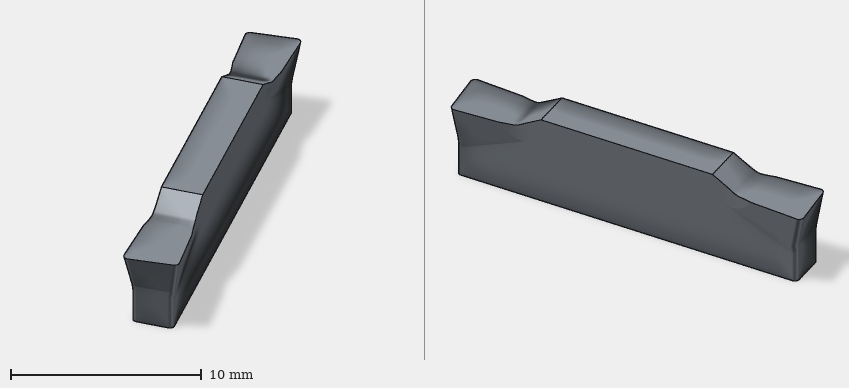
import cadquery as cq
import math

LENGTH = 21.3
HEIGHT = 5.2
CORE_WIDTH = 2.28
CORE_LENGTH = 20.36
CORE_CORNER_RADIUS = 0.25

HEAD_WIDTH = 3.0
RAKE_HEIGHT = 4.35
RELIEF_BOTTOM = 2.3
HEAD_BOTTOM = 1.58
EDGE_LEAD_ANGLE = 5.0
PLAN_TAPER_ANGLE = 3.3
FLANK_ANGLE = 7.5
HEAD_CORNER_RADIUS = 0.28

LAND_LENGTH = 10.27
RAMP_ANGLE = 30.0
RAMP_FILLET = 0.83

BLEND_RADIUS = 7.25
BLEND_END_Y = 5.88
BLEND_REACH = 1.92

CORE_HALF_WIDTH = CORE_WIDTH / 2
CORE_END_Y = CORE_LENGTH / 2
RAMP_FOOT_Y = LAND_LENGTH / 2 + (HEIGHT - RAKE_HEIGHT) / math.tan(math.radians(RAMP_ANGLE))
RAMP_START_Y = RAMP_FOOT_Y + RAMP_FILLET * math.tan(math.radians(RAMP_ANGLE / 2))

LEAD = math.radians(EDGE_LEAD_ANGLE)
TAPER = math.radians(PLAN_TAPER_ANGLE)
TIP_HALF_ANGLE = (math.pi / 2 - LEAD - TAPER) / 2
TIP_TANGENT = HEAD_CORNER_RADIUS / math.tan(TIP_HALF_ANGLE)
TIP_LOSS_Y = TIP_TANGENT * math.sin(LEAD) - HEAD_CORNER_RADIUS * (1 - math.cos(LEAD))
TIP_LOSS_X = TIP_TANGENT * math.sin(TAPER) - HEAD_CORNER_RADIUS * (1 - math.cos(TAPER))
TIP_Y = LENGTH / 2 + TIP_LOSS_Y
TIP_X = HEAD_WIDTH / 2 + TIP_LOSS_X


def make_core():
    return (
        cq.Workplane("XY")
        .box(CORE_WIDTH, CORE_LENGTH, HEIGHT, centered=(True, True, False))
        .edges("|Z")
        .fillet(CORE_CORNER_RADIUS)
    )


def head_section(z, left_end_y, right_end_y):
    """Horizontal outline of the -Y head, with its two outer corners rounded."""
    drop = (RAKE_HEIGHT - z) * math.tan(math.radians(FLANK_ANGLE))

    def half_width(y):
        return TIP_X - drop - math.tan(TAPER) * (y + TIP_Y)

    inner_y = -BLEND_END_Y
    corners = [
        cq.Vector(-half_width(left_end_y), left_end_y, z),
        cq.Vector(half_width(right_end_y), right_end_y, z),
        cq.Vector(half_width(inner_y), inner_y, z),
        cq.Vector(-half_width(inner_y), inner_y, z),
    ]
    face = cq.Face.makeFromWires(cq.Wire.makePolygon(corners, close=True))
    outer = [v for v in face.Vertices() if v.Y < -CORE_END_Y + CORE_CORNER_RADIUS]
    return face.fillet2D(HEAD_CORNER_RADIUS, outer).outerWire()


def blend_prism(outer_y, bottom, top):
    """Prism whose two sides flare concavely from the core, then run out to outer_y."""
    reach_y = -BLEND_END_Y - BLEND_REACH

    def flare(distance):
        return CORE_HALF_WIDTH + BLEND_RADIUS - math.sqrt(BLEND_RADIUS**2 - distance**2)

    middle = (flare(BLEND_REACH / 2), -BLEND_END_Y - BLEND_REACH / 2)
    wide = (flare(BLEND_REACH), reach_y)
    prism = (
        cq.Workplane("XY", origin=(0, 0, bottom))
        .moveTo(CORE_HALF_WIDTH, -BLEND_END_Y)
        .threePointArc(middle, wide)
        .lineTo(HEAD_WIDTH, reach_y)
        .lineTo(HEAD_WIDTH, -LENGTH)
        .lineTo(-HEAD_WIDTH, -LENGTH)
        .lineTo(-HEAD_WIDTH, reach_y)
        .lineTo(-wide[0], wide[1])
        .threePointArc((-middle[0], middle[1]), (-CORE_HALF_WIDTH, -BLEND_END_Y))
        .close()
        .extrude(top - bottom)
    )
    trim = cq.Workplane("XY").box(4 * HEAD_WIDTH, 2 * outer_y, 2 * HEIGHT)
    return prism.intersect(trim)


def make_head():
    """Head at the -Y end, including the neck that carries the ramp."""
    sections = [
        head_section(HEAD_BOTTOM, -CORE_END_Y, -CORE_END_Y),
        head_section(RELIEF_BOTTOM, -CORE_END_Y, -CORE_END_Y),
        head_section(RAKE_HEIGHT, -TIP_Y, -TIP_Y + 2 * TIP_X * math.tan(LEAD)),
    ]
    tapered = cq.Workplane(cq.Solid.makeLoft(sections, True))
    head = tapered.intersect(blend_prism(LENGTH, 0, HEIGHT))
    return head.union(blend_prism(RAMP_START_Y, RAKE_HEIGHT, HEIGHT))


def side_envelope():
    """Side profile with the raised middle, swept across the full width."""
    half_land = LAND_LENGTH / 2
    profile = [
        (-LENGTH, 0), (LENGTH, 0),
        (LENGTH, RAKE_HEIGHT), (RAMP_FOOT_Y, RAKE_HEIGHT),
        (half_land, HEIGHT), (-half_land, HEIGHT),
        (-RAMP_FOOT_Y, RAKE_HEIGHT), (-LENGTH, RAKE_HEIGHT),
    ]
    envelope = cq.Workplane("YZ").polyline(profile).close().extrude(HEAD_WIDTH, both=True)
    margin = 0.21
    feet = cq.selectors.BoxSelector(
        (-HEAD_WIDTH, -RAMP_FOOT_Y - margin, RAKE_HEIGHT - margin),
        (HEAD_WIDTH, RAMP_FOOT_Y + margin, RAKE_HEIGHT + margin),
    )
    return envelope.edges("|X").edges(feet).fillet(RAMP_FILLET)


result = make_core()
for turn in (0, 180):
    result = result.union(make_head().rotate((0, 0, 0), (0, 0, 1), turn))
result = result.intersect(side_envelope())